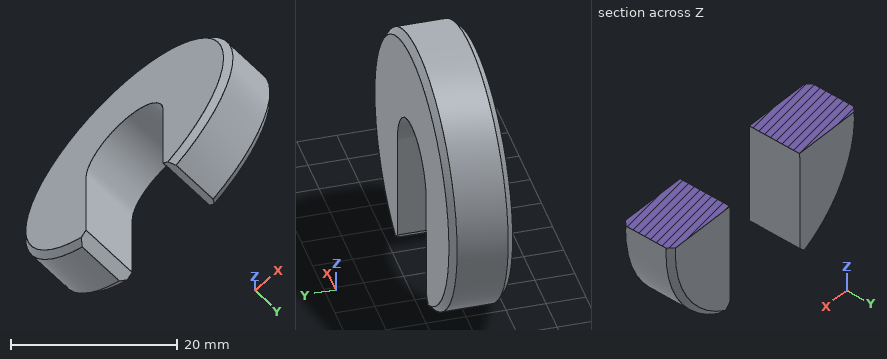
import cadquery as cq
import math

disc_radius = 17.45
thickness = 8.0
rim_chamfer = 0.8
slot_width = 12.95
tip_drop = 15.58

slot_radius = slot_width / 2
tip_half_gap = math.sqrt(disc_radius**2 - tip_drop**2)
flare = tip_half_gap - slot_radius
flare_start = tip_drop - flare
overrun = disc_radius - tip_drop


def chamfered_disc():
    """Disc centred on the origin, axis along Y, with both rims chamfered."""
    disc = cq.Workplane("XZ").circle(disc_radius).extrude(thickness / 2, both=True)
    return disc.faces("<Y or >Y").edges().chamfer(rim_chamfer)


def slot_cutter():
    """Round-topped slot, concentric with the disc, flaring out at its mouth."""
    mouth_half_width = tip_half_gap + overrun
    mouth_drop = tip_drop + overrun
    return (
        cq.Workplane("XZ")
        .moveTo(-slot_radius, 0)
        .threePointArc((0, slot_radius), (slot_radius, 0))
        .lineTo(slot_radius, -flare_start)
        .lineTo(mouth_half_width, -mouth_drop)
        .lineTo(-mouth_half_width, -mouth_drop)
        .lineTo(-slot_radius, -flare_start)
        .close()
        .extrude(thickness, both=True)
    )


result = chamfered_disc().cut(slot_cutter())